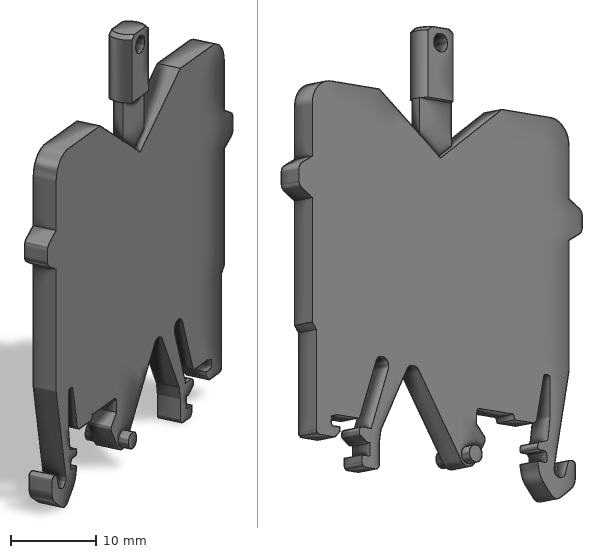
import cadquery as cq
import math


overall_width = 45.4
thickness = 3.1
half_width = 20.6
top_z = 45.45
top_corner_radius = 3.0
notch_half_width = 9.85
notch_bottom_z = 38.45

ear_z = 33.65
ear_tip_y = overall_width / 2
ear_root_half_height = 2.5
ear_tip_half_height = 1.25
ear_tip_radius = 0.95

foot_step_top_z = 16.3
foot_step_bottom_z = 15.5
foot_outer_y = 19.9
foot_bottom_z = 3.0
foot_heel_radius = 0.55
foot_toe_y = 16.15
foot_toe_top_z = 4.3
foot_toe_chamfer = 0.75
foot_groove_y = 17.5
foot_groove_top_z = 5.4
foot_ceiling_y = 16.5
foot_ceiling_z = 5.7

slot_mouth_y = 13.0
slot_end_foot_side = (10.0, 13.9)
slot_end_finger_side = (8.05, 13.1)
slot_end_radius = 1.0

finger_shoulder_z = 4.75
finger_root_y = 11.1
finger_nose_y = 13.0
finger_nose_z = 3.85
finger_nose_radius = 0.5
finger_groove_y = 11.3
finger_groove_top_y = 11.8
finger_groove_top_z = 3.0
finger_toe_top_z = 1.4
finger_toe_y = 12.65
finger_bottom_z = 0.0
finger_toe_radius = 0.6
finger_back_y = 9.85
finger_back_top_z = 3.2
finger_bend = (9.55, 4.8)

crotch = (4.55, 14.15)
crotch_radius = 1.15
pin_y = -4.4
pin_z = 3.5
pin_radius = 1.0
pin_length = 5.8
leg_tip = (-4.5, 1.0)
leg_tip_radius = 1.3
leg_nose = (-7.3, 5.8)
leg_nose_radius = 0.65
leg_neck_y = -5.8
leg_neck_z = 7.35

recess_top_z = 9.3
recess_corner_radius = 0.6
recess_step_z = 8.65
recess_step_start_y = -11.65
recess_step_end_y = -11.95
recess_end_y = -15.3
recess_end_radius = 0.6

arm_slot_top_z = 14.7
arm_slot_end_y = -16.6
arm_inner_y = -17.55
arm_slot_end_radius = 0.45
arm_bend_z = 9.65
arm_neck = (-17.15, 6.8)
arm_neck_radius = 0.5
nub_top = (-15.65, 6.4)
nub_bottom_y = -15.45
nub_bottom_z = 5.55
nub_radius = 0.3
arm_groove_y = -17.0
arm_groove_bottom_z = 4.15
arm_groove_radius = 0.55
hook_front_y = -15.55
hook_belly = (-15.9, 2.4)
hook_belly_radius = 3.25
hook_bottom = (-18.4, -0.3)
hook_bottom_radius = 1.15
hook_outer_y = -21.6
hook_outer_z = 2.0
hook_outer_radius = 1.9
hook_tip_z = 4.9
hook_tip_inner_y = -20.5
hook_tip_radius = 0.5
hook_pocket_z = 2.65
hook_pocket_outer_y = -19.8
hook_pocket_inner_y = -18.0
hook_pocket_radius = 0.9
arm_outer_top_z = 15.5

edge_radius = 0.25

tab_diameter = 5.1
tab_top_z = 54.0
tab_chamfer = 0.5
tab_neck_thickness = 1.3
tab_hole_diameter = 2.2
tab_hole_depth_below_top = 1.8


def corner(y, z, radius=0.0):
    """Outline corner with an optional rounding radius."""
    return (y, z, radius)


def ear(side):
    """Ear corners from top to bottom; side is +1 for +Y and -1 for -Y."""
    return [
        corner(side * half_width, ear_z + ear_root_half_height),
        corner(side * ear_tip_y, ear_z + ear_tip_half_height, ear_tip_radius),
        corner(side * ear_tip_y, ear_z - ear_tip_half_height, ear_tip_radius),
        corner(side * half_width, ear_z - ear_root_half_height),
    ]


def top_edge():
    """Top edge from -Y to +Y, with its V notch."""
    return [
        corner(-half_width, top_z, top_corner_radius),
        corner(-notch_half_width, top_z),
        corner(0, notch_bottom_z),
        corner(notch_half_width, top_z),
        corner(half_width, top_z, top_corner_radius),
    ]


def fixed_foot():
    return [
        corner(half_width, foot_step_top_z),
        corner(foot_outer_y, foot_step_bottom_z),
        corner(foot_outer_y, foot_bottom_z, foot_heel_radius),
        corner(foot_toe_y + foot_toe_chamfer, foot_bottom_z),
        corner(foot_toe_y, foot_bottom_z + foot_toe_chamfer),
        corner(foot_toe_y, foot_toe_top_z),
        corner(foot_groove_y, foot_toe_top_z, edge_radius),
        corner(foot_groove_y, foot_groove_top_z),
        corner(foot_ceiling_y, foot_ceiling_z),
        corner(slot_mouth_y, foot_ceiling_z, edge_radius),
    ]


def spring_finger():
    return [
        corner(*slot_end_foot_side, slot_end_radius),
        corner(*slot_end_finger_side, slot_end_radius),
        corner(finger_root_y, finger_shoulder_z),
        corner(finger_nose_y, finger_shoulder_z, finger_nose_radius),
        corner(finger_nose_y, finger_nose_z, edge_radius),
        corner(finger_groove_top_y, finger_groove_top_z, edge_radius),
        corner(finger_groove_y, finger_groove_top_z),
        corner(finger_groove_y, finger_toe_top_z, edge_radius),
        corner(finger_toe_y, finger_toe_top_z),
        corner(finger_toe_y, finger_bottom_z, finger_toe_radius),
        corner(finger_back_y, finger_bottom_z, finger_toe_radius),
        corner(finger_back_y, finger_back_top_z),
        corner(*finger_bend),
    ]


def pointed_leg():
    return [
        corner(*crotch, crotch_radius),
        corner(*leg_tip, leg_tip_radius),
        corner(*leg_nose, leg_nose_radius),
        corner(leg_neck_y, leg_neck_z),
    ]


def rail_recess():
    return [
        corner(leg_neck_y, recess_top_z, recess_corner_radius),
        corner(recess_step_start_y, recess_top_z),
        corner(recess_step_end_y, recess_step_z),
        corner(recess_end_y, recess_step_z, recess_end_radius),
    ]


def hook_arm():
    return [
        corner(arm_slot_end_y, arm_slot_top_z, arm_slot_end_radius),
        corner(arm_inner_y, arm_slot_top_z, arm_slot_end_radius),
        corner(arm_inner_y, arm_bend_z),
        corner(*arm_neck, arm_neck_radius),
        corner(*nub_top, nub_radius),
        corner(nub_bottom_y, nub_bottom_z, nub_radius),
        corner(arm_groove_y, nub_bottom_z, arm_groove_radius),
        corner(arm_groove_y, arm_groove_bottom_z, edge_radius),
        corner(hook_front_y, arm_groove_bottom_z),
        corner(*hook_belly, hook_belly_radius),
        corner(*hook_bottom, hook_bottom_radius),
        corner(hook_outer_y, hook_outer_z, hook_outer_radius),
        corner(hook_outer_y, hook_tip_z, hook_tip_radius),
        corner(hook_tip_inner_y, hook_tip_z, hook_tip_radius),
        corner(hook_pocket_outer_y, hook_pocket_z, hook_pocket_radius),
        corner(hook_pocket_inner_y, hook_pocket_z, hook_pocket_radius),
        corner(-half_width, arm_outer_top_z),
    ]


def rounding(before, here, after):
    """Start, middle and end of the arc that rounds the corner `here`."""
    point = cq.Vector(here[0], here[1])
    to_before = (cq.Vector(before[0], before[1]) - point).normalized()
    to_after = (cq.Vector(after[0], after[1]) - point).normalized()
    half_angle = to_before.getAngle(to_after) / 2
    radius = here[2]
    setback = radius / math.tan(half_angle)
    bulge_distance = radius / math.sin(half_angle) - radius
    bisector = (to_before + to_after).normalized()
    arc = (point + to_before * setback, point + bisector * bulge_distance, point + to_after * setback)
    return [(p.x, p.y) for p in arc]


def rounded_outline(corners):
    """Closed YZ outline, starting at a sharp corner."""
    outline = cq.Workplane("YZ").moveTo(corners[0][0], corners[0][1])
    for i in range(1, len(corners)):
        here = corners[i]
        if here[2] == 0:
            outline = outline.lineTo(here[0], here[1])
            continue
        start, middle, end = rounding(corners[i - 1], here, corners[(i + 1) % len(corners)])
        outline = outline.lineTo(*start).threePointArc(middle, end)
    return outline.close()


def make_plate():
    corners = ear(1) + fixed_foot() + spring_finger() + pointed_leg() + rail_recess() + hook_arm()
    corners += ear(-1)[::-1] + top_edge()
    return rounded_outline(corners).extrude(thickness / 2, both=True)


def make_pin():
    """Cylinder along X that stands out equally from both faces."""
    return (
        cq.Workplane("YZ")
        .center(pin_y, pin_z)
        .circle(pin_radius)
        .extrude(pin_length / 2, both=True)
    )


def make_tab():
    """Round peg cut flat to the plate thickness, on a thin neck rooted in the notch."""
    head_height = tab_top_z - top_z
    head = (
        cq.Workplane("XY", origin=(0, 0, top_z))
        .circle(tab_diameter / 2)
        .extrude(head_height)
        .faces(">Z")
        .chamfer(tab_chamfer)
    )
    flats = cq.Workplane("XY", origin=(0, 0, top_z)).rect(thickness, tab_diameter).extrude(head_height)
    hole = (
        cq.Workplane("YZ")
        .center(0, tab_top_z - tab_hole_depth_below_top)
        .circle(tab_hole_diameter / 2)
        .extrude(thickness, both=True)
    )
    neck = (
        cq.Workplane("XY", origin=(0, 0, notch_bottom_z))
        .rect(tab_neck_thickness, tab_diameter)
        .extrude(top_z - notch_bottom_z)
    )
    return head.intersect(flats).cut(hole).union(neck)


result = make_plate().union(make_pin()).union(make_tab())